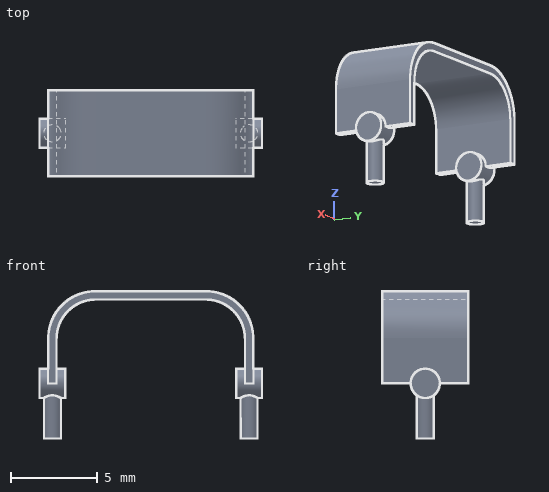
import cadquery as cq

strap_span = 11.9
strap_depth = 5.0
strap_height = 5.35
strap_thickness = 0.5
bend_radius = 2.75

crosspiece_diameter = 1.7
crosspiece_length = 1.5

pin_diameter = 1.0
pin_length = 3.2

leg_center_x = (strap_span - strap_thickness) / 2


def arch(span, height, radius):
    """Solid block with rounded top edges, standing on Z = 0."""
    return (
        cq.Workplane("XY")
        .box(span, strap_depth, height, centered=(True, True, False))
        .edges("|Y and >Z")
        .fillet(radius)
    )


def make_strap():
    """Arch of uniform thickness, left by removing a smaller arch."""
    outer = arch(strap_span, strap_height, bend_radius)
    inner = arch(
        strap_span - 2 * strap_thickness,
        strap_height - strap_thickness,
        bend_radius - strap_thickness,
    )
    return outer.cut(inner)


def make_terminal(center_x):
    """Crosspiece with its pin, centred on a strap leg."""
    crosspiece = (
        cq.Workplane("YZ", origin=(center_x, 0, 0))
        .circle(crosspiece_diameter / 2)
        .extrude(crosspiece_length / 2, both=True)
    )
    pin = (
        cq.Workplane("XY", origin=(center_x, 0, 0))
        .circle(pin_diameter / 2)
        .extrude(-pin_length)
    )
    return crosspiece.union(pin)


result = make_strap()
for side in (-1, 1):
    result = result.union(make_terminal(side * leg_center_x))